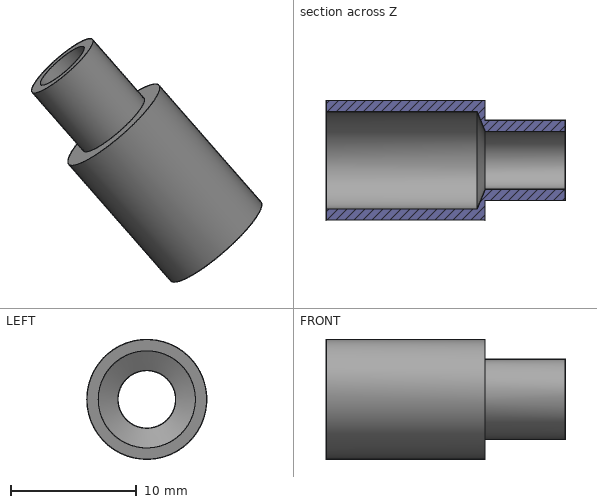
import cadquery as cq
import math

total_length = 19.05
body_length = 12.67
body_radius = 4.78
spigot_radius = 3.2

bore_radius = 3.87
narrow_radius = 2.29
cone_angle = 67.5
cone_end = body_length
cone_length = (bore_radius - narrow_radius) / math.tan(math.radians(cone_angle))
cone_start = cone_end - cone_length

half_section = [
    (0, bore_radius),
    (0, body_radius),
    (body_length, body_radius),
    (body_length, spigot_radius),
    (total_length, spigot_radius),
    (total_length, narrow_radius),
    (cone_end, narrow_radius),
    (cone_start, bore_radius),
]

result = (
    cq.Workplane("XY")
    .polyline(half_section)
    .close()
    .revolve(360, (0, 0, 0), (1, 0, 0))
)